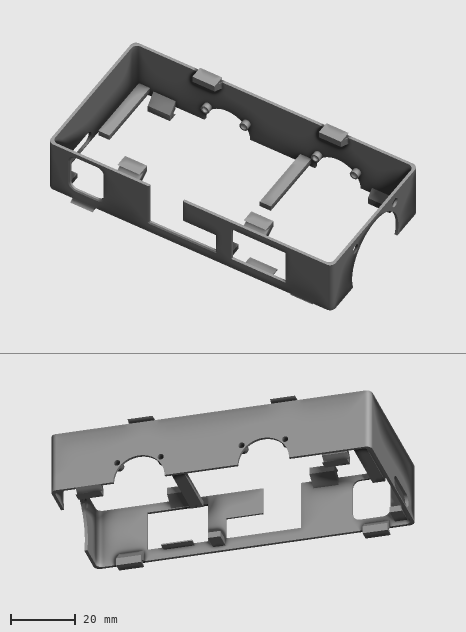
import cadquery as cq
import math

LENGTH = 103.0
WIDTH = 51.0
HEIGHT = 20.0
WALL = 1.0
CORNER_RADIUS = 2.0

FRONT_OUTER = -WIDTH / 2
FRONT_INNER = FRONT_OUTER + WALL
CUT_MARGIN = 1.0

FLARE_DEPTH = 0.3
FLARE_WIDTH = 0.5
FLARE_ANGLE = math.degrees(math.atan2(FLARE_WIDTH, FLARE_DEPTH))

ROUNDED_X = -37.5
ROUNDED_Z = 11.0
ROUNDED_LENGTH = 12.2
ROUNDED_HEIGHT = 14.1
ROUNDED_RADIUS = 2.5

STEPPED_LEFT = -14.8
STEPPED_NECK_RIGHT = -2.7
STEPPED_RIGHT = 9.3
STEPPED_BOTTOM = 4.0
STEPPED_SHELF = 11.1

WINDOW_LEFT = 15.0
WINDOW_RIGHT = 34.5
WINDOW_BOTTOM = 3.9
WINDOW_TOP = 17.1

SLOT_Y = -9.1
SLOT_Z = 2.7
SLOT_LENGTH = 15.8
SLOT_HEIGHT = 4.5

FAN_RADIUS = 13.7
FAN_Z = 4.1
FAN_HOLE_DIAMETER = 3.2
FAN_HOLE_SPACING = 23.4
FAN_HOLE_Z = 15.9

ARCH_XS = (-17.0, 23.0)
ARCH_RADIUS = 8.2
BOSS_SPACING = 14.0
BOSS_Z = 6.7
BOSS_DIAMETER = 3.0
BOSS_BORE = 2.0
BOSS_LENGTH = 2.0

BAR_BOTTOM = 1.5
BAR_TOP = 3.5
BAR_LEFTS = (-49.0, 9.4)
BAR_WIDTH = 4.0
FRONT_BAR_REACH = 6.9
BACK_BAR_REACH = 25.0
LEDGE_LEFT = 19.3
LEDGE_LENGTH = 10.0
LEDGE_THICKNESS = 0.4
LEDGE_REACH = 4.0

CLIP_LENGTH = 8.0
GROOVE_ASPECT = 1.1
LOWER_CLIP_DROP = 2.5
UPPER_CLIP_X = 22.9
UPPER_CLIP_RISE = 2.3
UPPER_CLIP_THICKNESS = 4.5
UPPER_CLIP_SLOPE_DROP = 2.6
LOWER_CLIP_X = 39.3
LOWER_CLIP_THICKNESS = 3.4
LOOSE_CLIP_TIP = 1.6


def box(x_min, x_max, y_min, y_max, z_min, z_max):
    """Box between the given limits."""
    size = (x_max - x_min, y_max - y_min, z_max - z_min)
    return cq.Workplane().box(*size, centered=False).translate((x_min, y_min, z_min))


def half_turn(shape):
    """Turn a shape half a turn about the vertical middle axis."""
    return shape.rotate((0, 0, 0), (0, 0, 1), 180)


def mirrored_to_back(shape):
    """Mirror a front-wall shape onto the back wall."""
    return shape.mirror("XZ")


def rounded_block(length, width):
    block = cq.Workplane().box(length, width, HEIGHT, centered=(True, True, False))
    return block.edges("|Z").fillet(CORNER_RADIUS)


def wall_ring():
    """Rounded rectangular wall, open above and below."""
    return rounded_block(LENGTH, WIDTH).cut(rounded_block(LENGTH - 2 * WALL, WIDTH - 2 * WALL))


def front_plane(y):
    """XZ workplane at depth y whose extrusions run toward -Y."""
    return cq.Workplane("XZ", origin=(0, y, 0))


def rounded_outline(plane):
    outline = cq.Sketch().rect(ROUNDED_LENGTH, ROUNDED_HEIGHT).vertices().fillet(ROUNDED_RADIUS)
    return plane.center(ROUNDED_X, ROUNDED_Z).placeSketch(outline)


def stepped_outline(plane):
    top = HEIGHT + CUT_MARGIN
    return plane.polyline([
        (STEPPED_LEFT, STEPPED_BOTTOM),
        (STEPPED_RIGHT, STEPPED_BOTTOM),
        (STEPPED_RIGHT, STEPPED_SHELF),
        (STEPPED_NECK_RIGHT, STEPPED_SHELF),
        (STEPPED_NECK_RIGHT, top),
        (STEPPED_LEFT, top),
    ]).close()


def flared_cutter(outline):
    """Front-wall cutter that is straight inside and widens toward the outer face."""
    straight = outline(front_plane(FRONT_INNER + CUT_MARGIN)).extrude(WALL + CUT_MARGIN)
    flare = outline(front_plane(FRONT_OUTER + FLARE_DEPTH)).extrude(FLARE_DEPTH, taper=-FLARE_ANGLE)
    return straight.union(flare)


def window_cutter():
    return box(
        WINDOW_LEFT, WINDOW_RIGHT,
        FRONT_OUTER - CUT_MARGIN, FRONT_INNER + CUT_MARGIN,
        WINDOW_BOTTOM, WINDOW_TOP,
    )


def slot_cutter():
    return (
        cq.Workplane("YZ", origin=(-LENGTH / 2 - CUT_MARGIN, SLOT_Y, SLOT_Z))
        .slot2D(SLOT_LENGTH, SLOT_HEIGHT)
        .extrude(WALL + 2 * CUT_MARGIN)
    )


def fan_cutter():
    plane = cq.Workplane("YZ", origin=(LENGTH / 2 - WALL - CUT_MARGIN, 0, 0))
    depth = WALL + 2 * CUT_MARGIN
    opening = plane.center(0, FAN_Z).circle(FAN_RADIUS).extrude(depth)
    hole_places = [(side * FAN_HOLE_SPACING / 2, FAN_HOLE_Z) for side in (-1, 1)]
    holes = plane.pushPoints(hole_places).circle(FAN_HOLE_DIAMETER / 2).extrude(depth)
    return opening.union(holes)


def back_cylinders(places, diameter, inner_end, outer_end):
    """Cylinders along Y at (x, z) places, between two depths in from the outer back face."""
    return (
        cq.Workplane("XZ", origin=(0, WIDTH / 2 - outer_end, 0))
        .pushPoints(places)
        .circle(diameter / 2)
        .extrude(inner_end - outer_end)
    )


def boss_places():
    return [(x + side * BOSS_SPACING / 2, BOSS_Z) for x in ARCH_XS for side in (-1, 1)]


def ledge():
    right = LEDGE_LEFT + LEDGE_LENGTH
    inner = FRONT_OUTER + LEDGE_REACH
    return box(LEDGE_LEFT, right, FRONT_INNER, inner, BAR_TOP - LEDGE_THICKNESS, BAR_TOP)


def bars():
    """Short bars on the front wall and long bars on the back wall."""
    spans = []
    for left in BAR_LEFTS:
        spans.append((left, FRONT_INNER, FRONT_OUTER + FRONT_BAR_REACH))
        spans.append((left, WIDTH / 2 - BACK_BAR_REACH, WIDTH / 2 - WALL))
    return [
        box(left, left + BAR_WIDTH, y_min, y_max, BAR_BOTTOM, BAR_TOP)
        for left, y_min, y_max in spans
    ]


def clip_prism(x, profile):
    """Extrude a (y, z) profile along X over one clip length centred on x."""
    plane = cq.Workplane("YZ", origin=(x - CLIP_LENGTH / 2, 0, 0))
    return plane.polyline(profile).close().extrude(CLIP_LENGTH)


def upper_clip(x):
    """Clip on the inner face of the front wall, rising above the upper rim."""
    tip = FRONT_INNER
    inner = tip + UPPER_CLIP_THICKNESS
    top = HEIGHT + UPPER_CLIP_RISE
    return clip_prism(x, [
        (tip, top),
        (inner, top),
        (inner, HEIGHT),
        (tip, HEIGHT - UPPER_CLIP_SLOPE_DROP),
        (tip, HEIGHT),
        (tip + UPPER_CLIP_RISE / GROOVE_ASPECT, top - UPPER_CLIP_RISE / 2),
    ])


def lower_clip(x, tip_inset):
    """Clip at the lower rim of the front wall; its tip is tip_inset in from the outer face."""
    tip = FRONT_OUTER + tip_inset
    inner = tip + LOWER_CLIP_THICKNESS
    return clip_prism(x, [
        (tip, -LOWER_CLIP_DROP),
        (inner, -LOWER_CLIP_DROP),
        (inner, 0),
        (tip, LOWER_CLIP_THICKNESS),
        (tip, 0),
        (tip + LOWER_CLIP_DROP / GROOVE_ASPECT, -LOWER_CLIP_DROP / 2),
    ])


def make_frame():
    frame = wall_ring()
    frame = frame.cut(flared_cutter(rounded_outline)).cut(flared_cutter(stepped_outline))
    frame = frame.cut(window_cutter()).cut(slot_cutter()).cut(fan_cutter())
    arches = [(x, 0) for x in ARCH_XS]
    frame = frame.cut(back_cylinders(arches, 2 * ARCH_RADIUS, WALL + CUT_MARGIN, -CUT_MARGIN))
    frame = frame.union(back_cylinders(boss_places(), BOSS_DIAMETER, WALL + BOSS_LENGTH, 0))
    frame = frame.cut(back_cylinders(boss_places(), BOSS_BORE, WALL + BOSS_LENGTH, 0))
    for bar in bars():
        frame = frame.union(bar)
    frame = frame.union(ledge())
    for x in (-UPPER_CLIP_X, UPPER_CLIP_X):
        frame = frame.union(upper_clip(x)).union(mirrored_to_back(upper_clip(x)))
    fixed_clip = lower_clip(-LOWER_CLIP_X, 0)
    return frame.union(fixed_clip).union(half_turn(fixed_clip))


def make_loose_clips():
    """Two separate lower clips at opposite corners, standing clear of the walls."""
    loose_clip = lower_clip(LOWER_CLIP_X, LOOSE_CLIP_TIP)
    return [loose_clip, half_turn(loose_clip)]


frame = make_frame()
loose_clips = make_loose_clips()

result = cq.Compound.makeCompound([frame.val(), *[clip.val() for clip in loose_clips]])